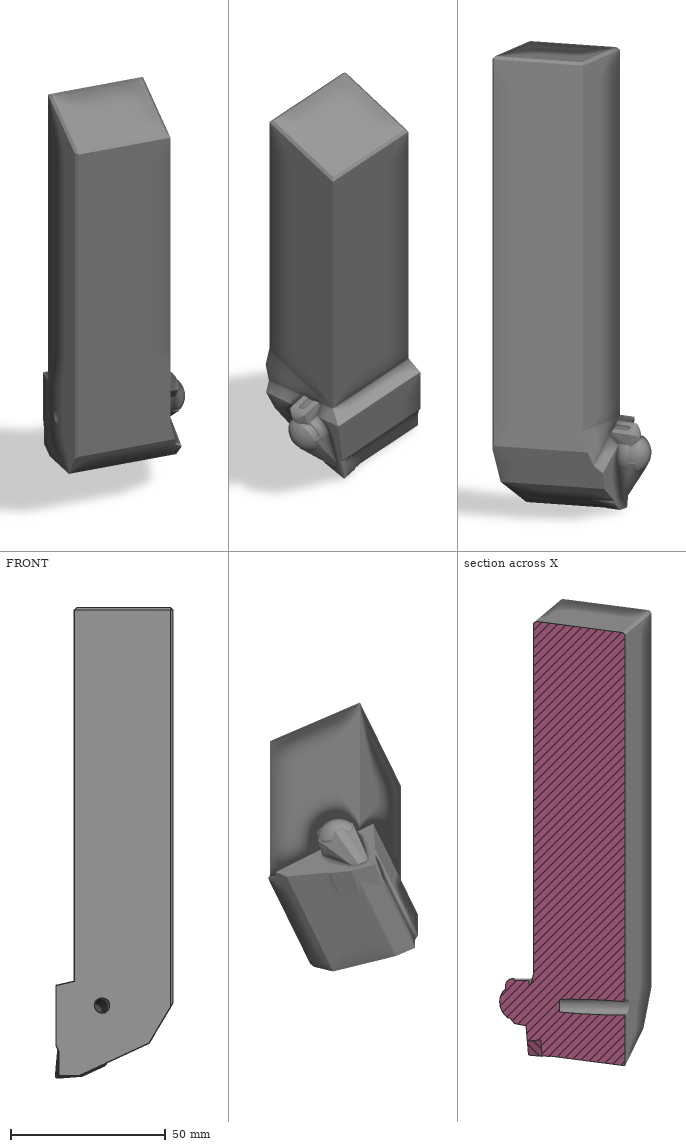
import cadquery as cq
import math

SHANK = 32.0
LENGTH = 152.4
END_CHAMFER = 0.9

HEAD_DEPTH = 39.6
HEAD_LEFT = -6.0
SHOULDER_Z = 31.4
SHOULDER_DROP = 1.4
RELIEF_LEFT = -4.9
RELIEF_TOP = 10.5
RELIEF_BOTTOM = 6.5
RELIEF_MID = (-5.2, 8.8)
HEAD_BOTTOM = 0.9
FLAT_END_X = 1.8
KNEE_X = 24.2
KNEE_Z = 11.3
FLANK_END_Z = 24.4

ROUNDING_LOSS = 0.08
TIP_X = -6.1 - ROUNDING_LOSS
TIP_Y = SHANK
TIP_Z = -ROUNDING_LOSS
TILT_X = 6.0
TILT_Z = 5.0
RISE_X = math.tan(math.radians(TILT_X))
RISE_Z = math.tan(math.radians(TILT_Z))
SEAT_NORMAL = (-RISE_X, 1, -RISE_Z)
SEAT_UP = (0, RISE_Z, 1)

INSCRIBED_RADIUS = 6.4
CORNER_ANGLE = 80.0
CORNER_RADIUS = 0.8
TIP_DIRECTION = 225.0
CORNER_STEP = 360 / 3
INSERT_THICKNESS = 4.7
SHIM_THICKNESS = 2.9
SHIM_INSET = 0.2
TIP_TO_CENTRE = INSCRIBED_RADIUS / math.sin(math.radians(CORNER_ANGLE / 2))

SHOULDER_EDGE = (0, SHANK, SHOULDER_Z)
RAMP_NORMAL = (0.3, 1.2, 1)
SHELF_NORMAL = (0, 4.6, 1)

CLAMP_TURN = 21.0
SCREW_UP = 20.7
SCREW_ACROSS = 11.6
SCREW_DIAMETER = 4.9
SCREW_HOLE_DEPTH = 22.9
TAIL_END = 9.1
TAIL_HALF_WIDTH = 3.7
TAIL_HEIGHT = 6.1
TAIL_ROUND = 3.0
TAIL_FOOT = 2.5
FOOT_START = 3.8
WINDOW_HALF_WIDTH = 1.5
WINDOW_SPRING = 1.2
WINDOW_DEPTH = 0.6
HUB_RADIUS = 6.4
HUB_HEIGHT = 6.7
HUB_CHAMFER = 3.4
DOME_TOP = 9.5
DOME_RADIUS = 6.9
DOME_BASE_RADIUS = 6.0
NOSE_END = 18.3
NOSE_EDGE = 0.5
NOSE_HALF_WIDTH = 2.5
NOSE_CREST = 4.7
NOSE_CREST_HEIGHT = 8.0
RIDGE_HALF_WIDTH = 1.2
EAVE_HALF_WIDTH = 6.9
EAVE_DROP = 4.5
WALL_DROP = 22.9

REACH = 121.9
SEAT = cq.Plane(origin=(TIP_X, TIP_Y, TIP_Z), xDir=SEAT_UP, normal=SEAT_NORMAL)

SCREW_FOOT = SEAT.toWorldCoords((SCREW_UP, SCREW_ACROSS, 0))
CLAMP = cq.Plane(origin=SCREW_FOOT, xDir=SEAT_UP, normal=SEAT_NORMAL).rotated((0, 0, CLAMP_TURN))
CLAMP_SIDE = cq.Plane(origin=SCREW_FOOT, xDir=CLAMP.xDir, normal=-CLAMP.yDir)


def half_space(point, normal):
    """Large block filling the side of a plane that its normal points away from."""
    plane = cq.Plane(origin=point, normal=normal)
    return cq.Workplane(plane).rect(REACH, REACH).extrude(-REACH)


def trigon(inset, top, thickness):
    """Trigon plate under the seat plane, from a depth of top; local x runs up the seat."""
    centre = -TIP_TO_CENTRE * math.cos(math.radians(TIP_DIRECTION))
    inscribed = INSCRIBED_RADIUS - inset
    corner_reach = inscribed / math.sin(math.radians(CORNER_ANGLE / 2))
    mid_reach = inscribed / math.cos(math.radians(CORNER_ANGLE / 2 - CORNER_STEP / 4))

    def around(reach, degrees):
        angle = math.radians(degrees)
        return (centre + reach * math.cos(angle), centre + reach * math.sin(angle))

    corners = []
    points = []
    for step in range(3):
        direction = TIP_DIRECTION + CORNER_STEP * step
        corner = around(corner_reach, direction)
        corners.append(corner)
        points += [corner, around(mid_reach, direction + CORNER_STEP / 2)]
    plate = cq.Workplane(SEAT).workplane(offset=-top).polyline(points).close().extrude(-thickness)
    for x, y in corners:
        corner = SEAT.toWorldCoords((x, y, -top - thickness / 2)).toTuple()
        plate = plate.edges(cq.NearestToPointSelector(corner)).fillet(CORNER_RADIUS)
    return plate


def make_insert():
    return trigon(inset=0, top=0, thickness=INSERT_THICKNESS)


def make_shank():
    bar = cq.Workplane("XY").workplane(offset=FLANK_END_Z).rect(SHANK, SHANK, centered=False)
    bar = bar.extrude(LENGTH - FLANK_END_Z)
    bar = bar.faces(">Z").edges().chamfer(END_CHAMFER)
    return bar.edges("|Z and >X and <Y").chamfer(END_CHAMFER)


def make_head():
    outline = (
        cq.Workplane("XZ")
        .moveTo(0, SHOULDER_Z)
        .lineTo(HEAD_LEFT, SHOULDER_Z - SHOULDER_DROP)
        .lineTo(HEAD_LEFT, RELIEF_TOP)
        .threePointArc(RELIEF_MID, (RELIEF_LEFT, RELIEF_BOTTOM))
        .lineTo(RELIEF_LEFT, HEAD_BOTTOM)
        .lineTo(FLAT_END_X, HEAD_BOTTOM)
        .lineTo(KNEE_X, KNEE_Z)
        .lineTo(SHANK, FLANK_END_Z)
        .lineTo(SHANK, SHOULDER_Z)
        .close()
    )
    block = outline.extrude(-HEAD_DEPTH)
    block = block.edges("|Z and >X and <Y").chamfer(END_CHAMFER)
    block = block.intersect(half_space(SEAT.origin.toTuple(), SEAT_NORMAL))
    ramped = block.intersect(half_space(SHOULDER_EDGE, RAMP_NORMAL))
    shelved = block.intersect(half_space(SHOULDER_EDGE, SHELF_NORMAL))
    return ramped.union(shelved)


def gable(low_end, high_end):
    """Long ridged bar whose flat ridge runs along a line of the clamp's middle plane."""
    start = CLAMP_SIDE.toWorldCoords(low_end)
    run = CLAMP_SIDE.toWorldCoords(high_end) - start
    section = cq.Plane(origin=start, xDir=CLAMP.yDir, normal=run)
    return (
        cq.Workplane(section)
        .moveTo(-RIDGE_HALF_WIDTH, 0)
        .lineTo(RIDGE_HALF_WIDTH, 0)
        .lineTo(EAVE_HALF_WIDTH, -EAVE_DROP)
        .lineTo(EAVE_HALF_WIDTH, -WALL_DROP)
        .lineTo(-EAVE_HALF_WIDTH, -WALL_DROP)
        .lineTo(-EAVE_HALF_WIDTH, -EAVE_DROP)
        .close()
        .extrude(REACH, both=True)
    )


def clamp_nose():
    """Tapering nose that slopes down onto the insert."""
    tip = (-NOSE_END, NOSE_EDGE)
    crest = (-NOSE_CREST, NOSE_CREST_HEIGHT)
    side = (
        cq.Workplane(CLAMP_SIDE)
        .polyline([(-NOSE_END, 0), tip, crest, (0, HUB_HEIGHT), (0, 0)])
        .close()
        .extrude(HUB_RADIUS, both=True)
    )
    plan = (
        cq.Workplane(CLAMP)
        .polyline([
            (-NOSE_END, -NOSE_HALF_WIDTH), (0, -HUB_RADIUS),
            (0, HUB_RADIUS), (-NOSE_END, NOSE_HALF_WIDTH),
        ])
        .close()
        .extrude(DOME_TOP)
    )
    return side.intersect(plan).intersect(gable(tip, crest))


def clamp_tail():
    """Straight tail with a rounded end whose foot drops behind the seat."""
    side = (
        cq.Workplane(CLAMP_SIDE)
        .lineTo(0, TAIL_HEIGHT)
        .lineTo(TAIL_END - TAIL_ROUND, TAIL_HEIGHT)
        .radiusArc((TAIL_END, TAIL_HEIGHT - TAIL_ROUND), TAIL_ROUND)
        .lineTo(TAIL_END, -TAIL_FOOT)
        .lineTo(FOOT_START, -TAIL_FOOT)
        .lineTo(FOOT_START, 0)
        .close()
        .extrude(TAIL_HALF_WIDTH, both=True)
    )
    tail = side.intersect(gable((0, TAIL_HEIGHT), (TAIL_END, TAIL_HEIGHT)))
    end_centre = CLAMP.toWorldCoords((TAIL_END, 0, 0))
    window = (
        cq.Workplane(cq.Plane(origin=end_centre, xDir=CLAMP.yDir, normal=CLAMP.xDir))
        .moveTo(-WINDOW_HALF_WIDTH, -TAIL_FOOT)
        .lineTo(WINDOW_HALF_WIDTH, -TAIL_FOOT)
        .lineTo(WINDOW_HALF_WIDTH, WINDOW_SPRING)
        .threePointArc((0, WINDOW_SPRING + WINDOW_HALF_WIDTH), (-WINDOW_HALF_WIDTH, WINDOW_SPRING))
        .close()
        .extrude(-WINDOW_DEPTH)
    )
    return tail.cut(window)


def clamp_hub():
    """Round hub around the screw axis, topped by a dome."""
    hub = cq.Workplane(CLAMP).circle(HUB_RADIUS).extrude(HUB_HEIGHT)
    hub = hub.faces(cq.selectors.DirectionMinMaxSelector(CLAMP.zDir)).edges().chamfer(HUB_CHAMFER)
    dome = cq.Workplane(CLAMP).workplane(offset=DOME_TOP - DOME_RADIUS).sphere(DOME_RADIUS)
    core = cq.Workplane(CLAMP).circle(DOME_BASE_RADIUS).extrude(DOME_TOP)
    return hub.union(dome.intersect(core))


def screw_hole():
    """Blind hole on the screw axis, entering through the Y=0 face."""
    bore = cq.Workplane(CLAMP).circle(SCREW_DIAMETER / 2).extrude(-REACH)
    depth_limit = cq.Workplane("XZ").rect(REACH, REACH).extrude(-SCREW_HOLE_DEPTH)
    return bore.intersect(depth_limit)


def make_holder():
    """Shank, head, shim and clamp as one solid, with the insert pocket left open."""
    holder = make_shank().union(make_head())
    holder = holder.cut(make_insert())
    holder = holder.union(trigon(SHIM_INSET, INSERT_THICKNESS, SHIM_THICKNESS))
    holder = holder.union(clamp_tail()).union(clamp_hub()).union(clamp_nose())
    return holder.cut(screw_hole())


insert = make_insert()
holder = make_holder()
result = cq.Compound.makeCompound([holder.val(), insert.val()])